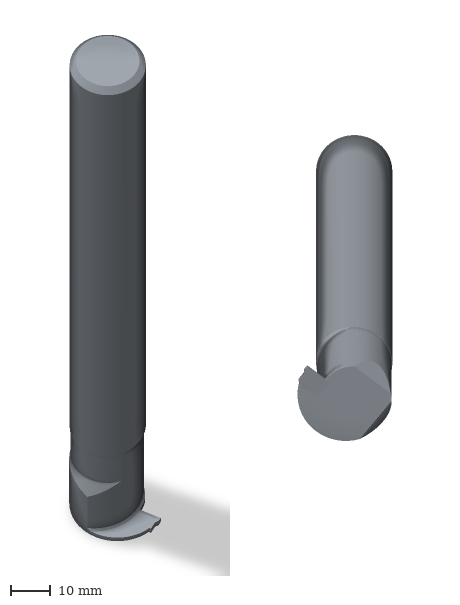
import cadquery as cq

total_length = 180.0
shank_radius = 9.5
top_chamfer = 1.6

head_bottom = 0.4
shank_bottom = 30.0
neck_radius = 9.4
head_radius = 12.0
head_center_x = head_radius - neck_radius
shoulder_top = 19.0
shoulder_drop_per_radius = 1.6

relief_radius = 12.6
relief_center_x = -4.0
relief_runout = 1.8
blade_top = 1.8
root_chamfer = 0.5

side_bevel_foot_x = -7.2
side_bevel_height = 2.5
back_bevel_foot_y = 7.4
back_bevel_height = 8.1

tip_inner_x = 8.0
tip_outer_x = 15.0
tip_depth = 4.3
tip_heel_x = 14.4
tip_land = 1.3
tip_heel_start = 2.2
tip_rake_width = 1.0
tip_rake_drop = 0.4

cut_size = 72.0


def cylinder(radius, bottom, top, center_x=0.0):
    return cq.Workplane("XY").workplane(offset=bottom).center(center_x, 0).circle(radius).extrude(top - bottom)


def front_half(bottom, top):
    """Block filling the Y < 0 side between two heights."""
    return (
        cq.Workplane("XY")
        .workplane(offset=bottom)
        .center(0, -cut_size / 2)
        .rect(2 * cut_size, cut_size)
        .extrude(top - bottom)
    )


def make_shank():
    shank = cylinder(shank_radius, shank_bottom, total_length)
    return shank.faces(">Z").chamfer(top_chamfer)


def make_head():
    """Front half of an eccentric cylinder with a conical shoulder around the neck."""
    full_head = cylinder(head_radius, head_bottom, shoulder_top, head_center_x)
    head = full_head.intersect(front_half(head_bottom, shoulder_top))
    outer_radius = head_center_x + 2 * head_radius
    shoulder_foot = shoulder_top - shoulder_drop_per_radius * (outer_radius - neck_radius)
    envelope = (
        cq.Workplane("XZ")
        .polyline([
            (0, shoulder_foot),
            (outer_radius, shoulder_foot),
            (neck_radius, shoulder_top),
            (0, shoulder_top),
        ])
        .close()
        .revolve(360, (0, 0, 0), (0, 1, 0))
    )
    return head.intersect(envelope)


def relief_cutter():
    """Everything outside the relief arc, from the blade up into the end of the shank."""
    bottom = head_bottom
    top = shank_bottom + relief_runout
    core = (
        cq.Workplane("XZ")
        .polyline([
            (0, bottom),
            (relief_radius + root_chamfer, bottom),
            (relief_radius + root_chamfer, blade_top),
            (relief_radius, blade_top + root_chamfer),
            (relief_radius, shank_bottom),
            (relief_radius + relief_runout, top),
            (0, top),
        ])
        .close()
        .revolve(360, (0, 0, 0), (0, 1, 0))
        .translate((relief_center_x, 0, 0))
    )
    block = cq.Workplane("XY").workplane(offset=bottom).rect(cut_size, cut_size).extrude(top - bottom)
    blade = front_half(head_bottom, blade_top)
    return block.cut(core).cut(blade)


def side_bevel():
    """Wedge removed at the foot of the -X side."""
    return (
        cq.Workplane("XZ")
        .polyline([
            (side_bevel_foot_x, head_bottom),
            (-neck_radius, side_bevel_height),
            (-cut_size, side_bevel_height),
            (-cut_size, head_bottom),
        ])
        .close()
        .extrude(cut_size / 2, both=True)
    )


def back_bevel():
    """Wedge removed at the foot of the +Y side."""
    return (
        cq.Workplane("YZ")
        .polyline([
            (back_bevel_foot_y, head_bottom),
            (neck_radius, back_bevel_height),
            (cut_size, back_bevel_height),
            (cut_size, head_bottom),
        ])
        .close()
        .extrude(cut_size / 2, both=True)
    )


def tip_pocket():
    """Notch through the blade, along its Y = 0 edge, that seats the tip."""
    length = cut_size - tip_inner_x
    return (
        cq.Workplane("XY")
        .box(length, tip_depth, blade_top, centered=False)
        .translate((tip_inner_x, -tip_depth, 0))
    )


def make_holder():
    neck = cylinder(neck_radius, head_bottom, shank_bottom)
    body = make_shank().union(neck).union(make_head())
    for cutter in (relief_cutter(), side_bevel(), back_bevel(), tip_pocket()):
        body = body.cut(cutter)
    return body


def make_tip():
    """Cutting tip with a raked top edge and an underside that slopes down to the outer corner."""
    plan = (
        cq.Workplane("XY")
        .polyline([
            (tip_inner_x, 0),
            (tip_outer_x, 0),
            (tip_outer_x, -tip_land),
            (tip_heel_x, -tip_heel_start),
            (tip_heel_x, -tip_depth),
            (tip_inner_x, -tip_depth),
        ])
        .close()
        .extrude(blade_top)
    )
    underside_wedge = (
        cq.Workplane("XZ")
        .polyline([(tip_inner_x, 0), (tip_outer_x, 0), (tip_inner_x, head_bottom)])
        .close()
        .extrude(tip_depth)
    )
    rake_wedge = (
        cq.Workplane("YZ")
        .polyline([(-tip_rake_width, blade_top), (0, blade_top), (0, blade_top - tip_rake_drop)])
        .close()
        .extrude(tip_outer_x)
    )
    return plan.cut(underside_wedge).cut(rake_wedge)


holder = make_holder()
tip = make_tip()
result = cq.Compound.makeCompound([holder.val(), tip.val()])